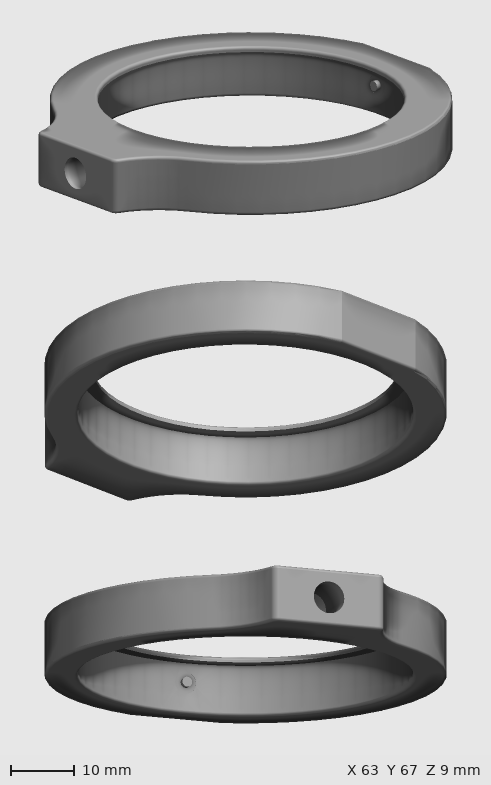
import cadquery as cq
import math

overall_length = 67.0
thickness = 9.0
outer_radius = 31.5
bore_radius = 24.0
seat_radius = 26.25
lip_thickness = 0.9
edge_round = 0.5
flat_y = 30.5

foot_y = flat_y - overall_length
foot_half_width = 9.2
foot_corner_round = 1.15
neck_start_x = 16.0

hole_radius = 2.55
hole_depth = 8.05
drill_point_angle = 120.0

plunger_z = 0.5
plug_radius = 1.75
pin_radius = 0.8
pin_protrusion = 0.8
pin_tip_y = seat_radius - pin_protrusion


def neck_arc():
    """Start, middle and end of the right-hand neck arc, tangent to the ring."""
    start = cq.Vector(neck_start_x, -math.sqrt(outer_radius**2 - neck_start_x**2))
    end = cq.Vector(foot_half_width, foot_y)
    outward = start.normalized()
    chord = end - start
    radius = chord.dot(chord) / (2 * chord.dot(outward))
    center = start + outward * radius
    middle = center + ((start + end) * 0.5 - center).normalized() * radius
    return start, middle, end


def mirrored(point):
    """Coordinates of the matching point on the -X side."""
    return -point.x, point.y


def make_outline():
    """Ring disc with its flat, necks and foot, before the bore is cut."""
    start, middle, end = neck_arc()
    flat_half_width = math.sqrt(outer_radius**2 - flat_y**2)
    disc = (
        cq.Workplane("XY")
        .moveTo(flat_half_width, flat_y)
        .threePointArc((outer_radius, 0), (start.x, start.y))
        .threePointArc((middle.x, middle.y), (end.x, end.y))
        .lineTo(*mirrored(end))
        .threePointArc(mirrored(middle), mirrored(start))
        .threePointArc((-outer_radius, 0), (-flat_half_width, flat_y))
        .close()
        .extrude(thickness / 2, both=True)
    )
    return disc.edges("|Z and <Y").fillet(foot_corner_round)


def make_stepped_bore():
    bore = cq.Workplane("XY").circle(bore_radius).extrude(thickness / 2, both=True)
    seat = (
        cq.Workplane("XY", origin=(0, 0, -thickness / 2))
        .circle(seat_radius)
        .extrude(thickness - lip_thickness)
    )
    return bore.union(seat)


def make_foot_hole():
    """Drilled hole along Y with a conical end."""
    cone_depth = hole_radius / math.tan(math.radians(drill_point_angle / 2))
    cone_start_y = foot_y + hole_depth
    return (
        cq.Workplane("XY")
        .moveTo(0, foot_y)
        .lineTo(hole_radius, foot_y)
        .lineTo(hole_radius, cone_start_y)
        .lineTo(0, cone_start_y + cone_depth)
        .close()
        .revolve(360, (0, 0), (0, 1))
    )


def make_plunger_rod(radius, inner_y):
    """Cylinder on the plunger axis, from inner_y out to the flat."""
    return cq.Workplane("XZ", origin=(0, flat_y, plunger_z)).circle(radius).extrude(flat_y - inner_y)


def make_ring():
    ring = make_outline().cut(make_stepped_bore())
    ring = ring.faces("<Z or >Z").edges().fillet(edge_round)
    plug_hole = make_plunger_rod(plug_radius, pin_tip_y)
    return ring.cut(make_foot_hole()).cut(plug_hole)


def make_pin():
    return make_plunger_rod(pin_radius, pin_tip_y)


def make_plug():
    return make_plunger_rod(plug_radius, seat_radius).cut(make_pin())


ring = make_ring()
plug = make_plug()
pin = make_pin()
result = cq.Compound.makeCompound([ring.val(), plug.val(), pin.val()])